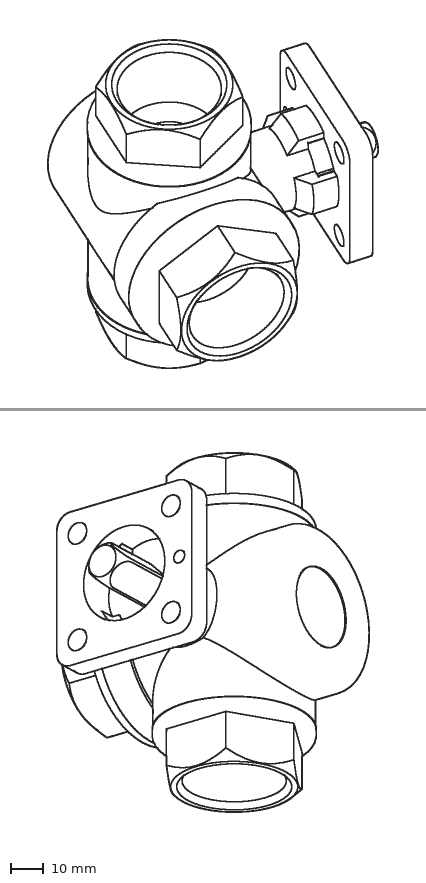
import cadquery as cq
import math


body_diameter = 53.5
body_left = -32.9
body_fillet = 3.1
label_diameter = 25.5
label_depth = 0.4

cap_start = 20.8
cap_diameter = 56.0
cap_rim_start = 31.5
cap_rim_diameter = 56.1
cap_end = 35.3

pipe_diameter = 49.6
rim_diameter = 50.0
rim_start = 32.0
rim_end = 35.9
rim_fillet = 1.9

port_reach = 51.2
hex_flats = 39.0
hex_corners = hex_flats / math.cos(math.pi / 6)
hex_face_diameter = 38.7
hex_chamfer = (hex_corners - hex_face_diameter) / 2

passage_diameter = 20.0
socket_diameter = 31.7
socket_root_diameter = 30.7
socket_depth = 22.7
socket_mouth_diameter = 35.0
socket_mouth_depth = 1.9
socket_cone_length = 3.1

neck_diameter = 26.3
neck_top = 43.5
lug_outer_diameter = 35.0
lug_inner_diameter = 30.7
lug_width = 12.9
lug_bevel_top = 40.3
lug_bevel_bottom = 36.5
plate_bottom = 48.7
plate_top = 56.4
plate_size = 51.0
plate_corner_radius = 5.1
bolt_circle_diameter = 50.0
bolt_hole_diameter = 7.0
pin_hole_diameter = 4.1
pin_hole_offset = 20.8

stem_top = 67.6
stem_flats = 11.1
stem_corner_diameter = 14.6
stem_end_diameter = 10.2


def along_x(shape):
    """Turn a shape built along Z so that it points along +X."""
    return shape.rotate((0, 0, 0), (0, 1, 0), 90)


def along_y(shape):
    """Turn a shape built along Z so that it points along +Y, its X axis staying in place."""
    return shape.rotate((0, 0, 0), (1, 0, 0), -90)


def rod(diameter, start, end):
    """Cylinder on the Z axis between two heights."""
    return cq.Workplane("XY").workplane(offset=start).circle(diameter / 2).extrude(end - start)


def revolved(points):
    """Solid of revolution about Z from (radius, height) points."""
    return cq.Workplane("XZ").polyline(points).close().revolve(360, (0, 0, 0), (0, 1, 0))


def hex_end(start):
    """Hexagonal wrench end with turned corners, pointing up Z with its corners on X."""
    prism = (
        cq.Workplane("XY").workplane(offset=start)
        .polygon(6, hex_corners).extrude(port_reach - start)
    )
    turned_blank = rod(hex_corners, start, port_reach).faces(">Z").chamfer(hex_chamfer)
    return prism.intersect(turned_blank)


def port_bore():
    """Tapered socket with a mouth chamfer, narrowing to the flow passage at the origin."""
    mouth_end = port_reach - socket_mouth_depth
    socket_floor = port_reach - socket_depth
    return revolved([
        (0, 0),
        (passage_diameter / 2, 0),
        (passage_diameter / 2, socket_floor - socket_cone_length),
        (socket_root_diameter / 2, socket_floor),
        (socket_diameter / 2, mouth_end),
        (socket_mouth_diameter / 2, port_reach),
        (0, port_reach),
    ])


def pipe_branch():
    """Half of the vertical pipe with its rim and hexagonal end, pointing up Z."""
    rim = rod(rim_diameter, rim_start, rim_end).faces(">Z").edges().fillet(rim_fillet)
    return rod(pipe_diameter, 0, rim_start).union(rim).union(hex_end(rim_end))


def main_body():
    """Closed body cylinder and the end cap with its hexagonal end, built along Z."""
    barrel = rod(body_diameter, body_left, cap_start).faces("<Z").edges().fillet(body_fillet)
    barrel = barrel.cut(rod(label_diameter, body_left, body_left + label_depth))
    cap = rod(cap_diameter, cap_start, cap_rim_start)
    cap_rim = rod(cap_rim_diameter, cap_rim_start, cap_end).faces(">Z").edges().fillet(rim_fillet)
    return barrel.union(cap).union(cap_rim).union(hex_end(cap_end))


def lugs():
    """Four lugs that carry the plate, cut from a bevelled ring by a cross of two bars."""
    ring = revolved([
        (stem_corner_diameter / 2, lug_bevel_bottom),
        (neck_diameter / 2, lug_bevel_bottom),
        (lug_outer_diameter / 2, lug_bevel_top),
        (lug_outer_diameter / 2, plate_bottom),
        (lug_inner_diameter / 2, plate_bottom),
        (lug_inner_diameter / 2, neck_top),
        (stem_corner_diameter / 2, neck_top),
    ])
    bar = cq.Workplane("XY").box(lug_outer_diameter, lug_width, 2 * plate_bottom)
    cross = bar.union(bar.rotate((0, 0, 0), (0, 0, 1), 90))
    return ring.intersect(cross)


def mounting_plate():
    """Square plate with a central opening, four bolt holes and one pin hole."""
    bolt_spacing = bolt_circle_diameter / math.sqrt(2)
    return (
        cq.Workplane("XY").workplane(offset=plate_bottom)
        .rect(plate_size, plate_size).extrude(plate_top - plate_bottom)
        .edges("|Z").fillet(plate_corner_radius)
        .cut(rod(lug_inner_diameter, plate_bottom, plate_top))
        .faces(">Z").workplane(origin=(0, 0, 0))
        .rect(bolt_spacing, bolt_spacing, forConstruction=True).vertices().hole(bolt_hole_diameter)
        .faces(">Z").workplane(origin=(0, 0, 0))
        .center(-pin_hole_offset, 0).hole(pin_hole_diameter)
    )


def stem():
    """Square stem standing on its diagonal, with turned corners and a spherical end."""
    corner_radius = stem_corner_diameter / 2
    end_radius = stem_end_diameter / 2
    dome_height = math.sqrt(corner_radius**2 - end_radius**2)
    dome_centre = stem_top - dome_height
    dome = cq.Workplane("XY").sphere(corner_radius).translate((0, 0, dome_centre))
    turned_blank = rod(stem_corner_diameter, neck_top, dome_centre).union(dome)
    square = (
        cq.Workplane("XY").workplane(offset=neck_top)
        .rect(stem_flats, stem_flats).extrude(stem_top - neck_top)
        .rotate((0, 0, 0), (0, 0, 1), 45)
    )
    return square.intersect(turned_blank)


actuator_side = rod(neck_diameter, 0, neck_top).union(lugs()).union(mounting_plate()).union(stem())
upper_branch = pipe_branch()
lower_branch = upper_branch.rotate((0, 0, 0), (1, 0, 0), 180)
upper_bore = port_bore()
lower_bore = upper_bore.rotate((0, 0, 0), (1, 0, 0), 180)

result = (
    along_x(main_body())
    .union(upper_branch)
    .union(lower_branch)
    .union(along_y(actuator_side))
    .cut(upper_bore)
    .cut(lower_bore)
    .cut(along_x(port_bore()))
)